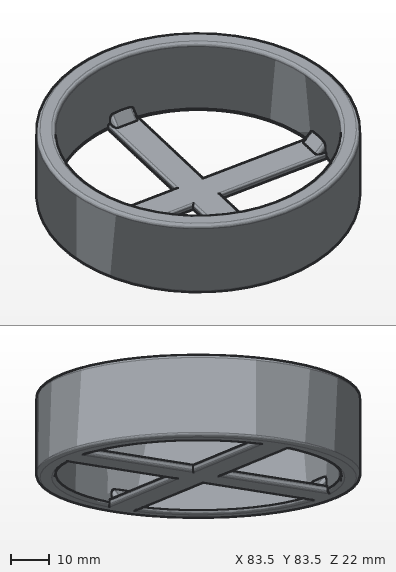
import cadquery as cq

outer_diameter = 83.5
inner_diameter = 73.5
ring_height = 22.0
ring_rounding = 1.0

bar_width = 8.5
bar_thickness = 2.0
bar_rounding = 0.6

wedge_count = 4
wedge_width = bar_width - 2 * bar_rounding
wedge_toe_radius = 33.9
wedge_rounding = 1.0

inner_radius = inner_diameter / 2
wall_thickness = (outer_diameter - inner_diameter) / 2
mid_wall_radius = inner_radius + wall_thickness / 2


def make_ring():
    """Plain ring with all four rims rounded."""
    ring = cq.Workplane("XY").circle(outer_diameter / 2).circle(inner_radius).extrude(ring_height)
    return ring.edges("%CIRCLE").fillet(ring_rounding)


def make_cross():
    """Two crossed bars with rounded long edges, ending inside the ring wall."""
    bar_length = 2 * mid_wall_radius
    bar_along_x = cq.Workplane("XY").rect(bar_length, bar_width).extrude(bar_thickness)
    bar_along_y = cq.Workplane("XY").rect(bar_width, bar_length).extrude(bar_thickness)
    cross = bar_along_x.union(bar_along_y)
    long_edges = cross.faces("<Z or >Z").edges(cq.selectors.BoxSelector(
        (-inner_radius, -inner_radius, -bar_thickness),
        (inner_radius, inner_radius, 2 * bar_thickness),
    ))
    return long_edges.fillet(bar_rounding)


def make_wedge():
    """Wedge on the +X bar with a 45 degree slope and rounded slope sides, ending inside the ring wall."""
    mid_thickness = bar_thickness / 2
    wedge_run = mid_wall_radius - wedge_toe_radius
    wedge = (
        cq.Workplane("XZ")
        .moveTo(wedge_toe_radius - mid_thickness, mid_thickness)
        .lineTo(mid_wall_radius, mid_thickness)
        .lineTo(mid_wall_radius, bar_thickness + wedge_run)
        .close()
        .extrude(wedge_width / 2, both=True)
    )
    slope_sides = wedge.edges(cq.selectors.ParallelDirSelector(cq.Vector(1, 0, 1)))
    return slope_sides.fillet(wedge_rounding)


result = make_ring().union(make_cross())
for index in range(wedge_count):
    angle = index * 360 / wedge_count
    result = result.union(make_wedge().rotate((0, 0, 0), (0, 0, 1), angle))